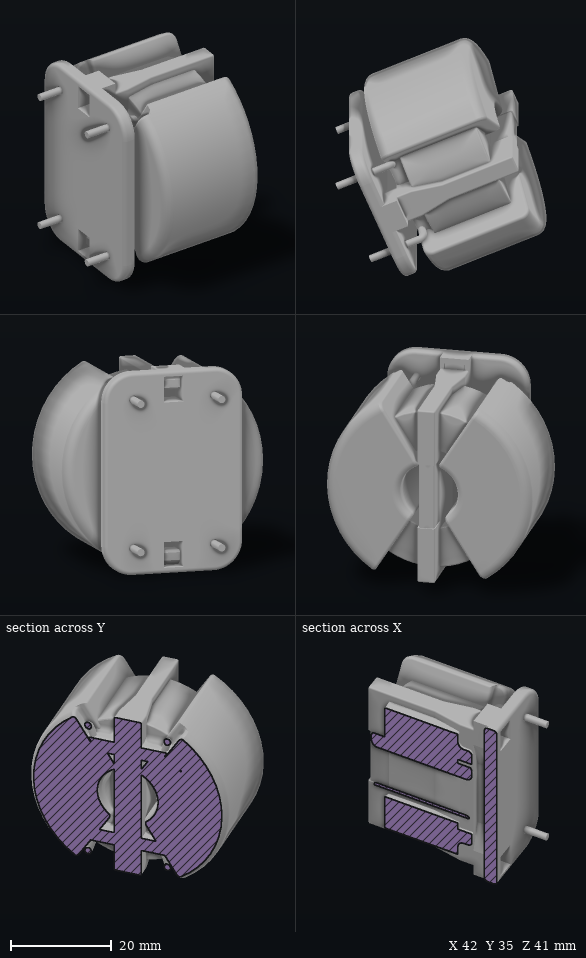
import cadquery as cq
import math


winding_radius = 21.0
bore_radius = 5.87
winding_length = 22.83
rim_round = 1.97
bore_round = 1.4
end_face_round = 0.6
gap_half_angle = 32.3
upper_gap_apex = 2.75
lower_gap_apex = 0.0

core_radius = 16.5
core_bore_radius = 8.4
core_front = 3.15
core_back = 19.75
core_edge_round = 0.35

notch_apex = -1.15
notch_depth = 2.73
notch_floor = 11.35
ledge_top = 12.6
ledge_bottom = 9.25
ledge_back_fillet = 1.25
ledge_front_round = 1.05

divider_half_height = 18.2
divider_half_width = 1.8
divider_back = 24.45
divider_edge_round = 0.38
foot_half_width = 2.95
foot_length = 3.1
taper_end = 9.3
recess_half_height = 6.7
recess_depth = 0.3
recess_side = 0.2

base_width = 28.95
base_height = 41.0
base_thickness = 2.9
base_corner_radius = 6.0
base_edge_round = 0.85
base_gap = 2.73
base_front = -(base_gap + base_thickness)

web_half_width = 1.25
web_half_height = 7.8
flare_end = 14.1
bracket_cover = 0.92

pocket_half_width = 2.1
pocket_bottom = flare_end
pocket_top = 19.3
tab_half_width = 1.95
tab_bottom = 16.25
tab_flat_bottom = 16.65
tab_flat_top = 18.2
tab_recess = 1.9
tab_slope_depth = 1.25

lead_diameter = 1.45
lead_hole_diameter = 1.8
lead_x = 8.45
lead_z = 15.0
lead_end = -10.55
lead_bend_start = 0.0
lead_bend_radius = 1.05
lead_tail = 2.95
lead_lean = 18.0


def front_plane(y):
    """Plane at the given Y with local axes (X, Z) and its normal toward -Y."""
    return cq.Workplane("XZ", origin=(0, y, 0))


def wedge(apex, y_front, y_back):
    """Triangular prism that opens upward from the given apex height."""
    height = 2 * winding_radius
    half_width = height * math.tan(math.radians(gap_half_angle))
    outline = [(0, apex), (half_width, apex + height), (-half_width, apex + height)]
    return front_plane(y_back).polyline(outline).close().extrude(y_back - y_front)


def make_windings():
    """Both windings: a rounded ring split by two V-shaped gaps, with a notch at the upper front."""
    section = (
        cq.Sketch()
        .push([((bore_radius + winding_radius) / 2, winding_length / 2)])
        .rect(winding_radius - bore_radius, winding_length)
        .reset()
        .vertices(">X")
        .fillet(rim_round)
        .reset()
        .vertices("<X")
        .fillet(bore_round)
    )
    ring = cq.Workplane("XY").placeSketch(section).revolve(360, (0, 0, 0), (0, 1, 0))
    upper_gap = wedge(upper_gap_apex, 0, winding_length)
    lower_gap = wedge(lower_gap_apex, 0, winding_length).mirror("XY")
    below_notch = cq.Workplane("XY").box(2 * winding_radius, 2 * winding_length, 2 * notch_floor)
    notch = wedge(notch_apex, 0, notch_depth).cut(below_notch)
    windings = ring.cut(upper_gap).cut(lower_gap).cut(notch)
    end_walls = windings.faces("%PLANE and (not |Y) and (not |Z)")

    margin = 0.05
    floor_edges = cq.selectors.BoxSelector(
        (-winding_radius, -margin, notch_floor - margin),
        (winding_radius, notch_depth + margin, notch_floor + margin),
    )
    return end_walls.edges(cq.selectors.InverseSelector(floor_edges)).fillet(end_face_round)


def make_core():
    """Toroidal core with softened outer edges."""
    length = core_back - core_front
    ring = front_plane(core_back).circle(core_radius).extrude(length)
    ring = ring.edges().fillet(core_edge_round)
    bore = front_plane(core_back).circle(core_bore_radius).extrude(length)
    return ring.cut(bore)


def make_ledge():
    """Ledge in the upper gap in front of the core, with a concave fillet up to the core face."""
    half = math.sqrt(0.5)
    front_center = (ledge_front_round, ledge_top - ledge_front_round)
    back_center = (core_front - ledge_back_fillet, ledge_top + ledge_back_fillet)
    front_middle = (front_center[0] - half * ledge_front_round, front_center[1] + half * ledge_front_round)
    back_middle = (back_center[0] + half * ledge_back_fillet, back_center[1] - half * ledge_back_fillet)
    back = core_front + core_edge_round
    profile = (
        cq.Workplane("YZ")
        .moveTo(0, ledge_bottom)
        .lineTo(0, front_center[1])
        .threePointArc(front_middle, (front_center[0], ledge_top))
        .lineTo(back_center[0], ledge_top)
        .threePointArc(back_middle, (core_front, back_center[1]))
        .lineTo(back, back_center[1])
        .lineTo(back, ledge_bottom)
        .close()
    )
    return profile.extrude(winding_radius, both=True).intersect(wedge(notch_apex, 0, back))


def make_divider():
    """Divider plate that widens into a foot at the front and is thinned around its middle."""
    right_side = [
        (foot_half_width, 0),
        (foot_half_width, foot_length),
        (divider_half_width, taper_end),
        (divider_half_width, divider_back),
    ]
    left_side = [(-x, y) for x, y in reversed(right_side)]
    height = 2 * divider_half_height
    plate = cq.Workplane("XY", origin=(0, 0, -divider_half_height))
    plate = plate.polyline(right_side + left_side).close().extrude(height)
    plate = plate.faces("<Z or >Z or >Y").edges("not <Y").fillet(divider_edge_round)

    recess_size = (2 * divider_half_width, divider_back - core_back, 2 * recess_half_height)
    recess = cq.Workplane("XY").box(*recess_size, centered=(True, False, True))
    recess = recess.translate((0, core_back, 0))
    thin_width = 2 * (divider_half_width - recess_side)
    thin_size = (thin_width, divider_back - core_back - recess_depth, 2 * recess_half_height)
    thin_middle = cq.Workplane("XY").box(*thin_size, centered=(True, False, True))
    thin_middle = thin_middle.edges("|Z and >Y").fillet(divider_edge_round)
    return plate.cut(recess).union(thin_middle.translate((0, core_back, 0)))


def make_base():
    """Rounded base plate with the flared bracket behind it."""
    plate = front_plane(-base_gap).rect(base_width, base_height).extrude(base_thickness)
    plate = plate.edges("|Y").fillet(base_corner_radius)
    plate = plate.faces("<Y or >Y").edges().fillet(base_edge_round)

    upper_right = [
        (web_half_width, web_half_height),
        (foot_half_width, flare_end),
        (foot_half_width, base_height / 2),
    ]
    upper_left = [(-x, z) for x, z in reversed(upper_right)]
    lower_half = [(-x, -z) for x, z in upper_right + upper_left]
    bracket = front_plane(0).polyline(upper_right + upper_left + lower_half).close()
    return plate.union(bracket.extrude(base_gap + bracket_cover))


def make_latch_pocket():
    """Upper latch pocket, open at the front of the base plate."""
    height = pocket_top - pocket_bottom
    pocket = front_plane(0).center(0, pocket_bottom + height / 2)
    return pocket.rect(2 * pocket_half_width, height).extrude(-base_front)


def make_latch_tab():
    """Upper latch tab, with a sloped top and a bevelled lower edge."""
    tab_front = base_front + tab_recess
    lower_bevel = tab_flat_bottom - tab_bottom
    profile = [
        (0, tab_bottom),
        (tab_front + lower_bevel, tab_bottom),
        (tab_front, tab_flat_bottom),
        (tab_front, tab_flat_top),
        (tab_front + tab_slope_depth, pocket_top),
        (0, pocket_top),
    ]
    return cq.Workplane("YZ").polyline(profile).close().extrude(tab_half_width, both=True)


def make_lead():
    """Straight lead at +X, +Z whose inner end bends down and slightly inward into the ledge."""
    lean = math.radians(lead_lean)
    inward = cq.Vector(-math.sin(lean), 0, -math.cos(lean))
    along = cq.Vector(0, 1, 0)
    start = cq.Vector(lead_x, lead_end, lead_z)
    bend_start = cq.Vector(lead_x, lead_bend_start, lead_z)
    center = bend_start + inward * lead_bend_radius
    half = math.sqrt(0.5) * lead_bend_radius
    bend_middle = center - inward * half + along * half
    bend_end = center + along * lead_bend_radius
    tail_end = bend_end + inward * lead_tail
    path = cq.Wire.assembleEdges([
        cq.Edge.makeLine(start, bend_start),
        cq.Edge.makeThreePointArc(bend_start, bend_middle, bend_end),
        cq.Edge.makeLine(bend_end, tail_end),
    ])
    profile = front_plane(lead_end).center(lead_x, lead_z).circle(lead_diameter / 2)
    return profile.sweep(cq.Workplane("XY").add(path))


def mirrored_pair(solid, plane):
    """The solid together with its mirror image."""
    return solid.union(solid.mirror(plane))


lead_holes = (
    front_plane(-base_gap)
    .rect(2 * lead_x, 2 * lead_z, forConstruction=True)
    .vertices()
    .circle(lead_hole_diameter / 2)
    .extrude(base_thickness)
)
base = make_base().cut(mirrored_pair(make_latch_pocket(), "XY")).cut(lead_holes)

result = (
    make_windings()
    .union(make_core())
    .union(mirrored_pair(make_ledge(), "XY"))
    .union(make_divider())
    .union(base)
    .union(mirrored_pair(make_latch_tab(), "XY"))
    .union(mirrored_pair(mirrored_pair(make_lead(), "YZ"), "XY"))
)